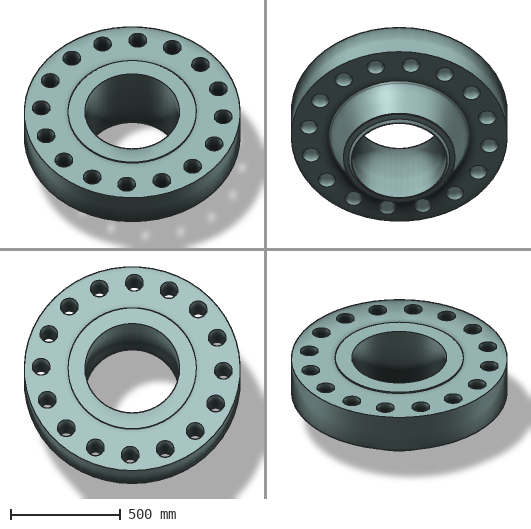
import cadquery as cq

flange_radius = 492.0
total_height = 362.0
bore_radius = 216.0

flange_thickness = 178.0
face_radius = 292.0
face_height = 7.0

hub_top_radius = 323.0
hub_root_radius = 316.0
hub_root_height = 10.0
neck_radius = 254.0
neck_height = 8.0

bevel_break_radius = 230.0
bevel_height = 18.0
bevel_break_drop = 5.0
weld_land_radius = 218.5

bolt_count = 16
bolt_circle_radius = 415.0
bolt_hole_diameter = 80.0

face_level = total_height
flange_top = total_height - face_height
flange_bottom = flange_top - flange_thickness
neck_bottom = bevel_height
neck_top = neck_bottom + neck_height


def revolved_body():
    """Flange, hub and bore revolved from one half section."""
    section = (
        cq.Workplane("XZ")
        .moveTo(bore_radius, 0)
        .lineTo(weld_land_radius, 0)
        .lineTo(bevel_break_radius, neck_bottom - bevel_break_drop)
        .lineTo(neck_radius, neck_bottom)
        .lineTo(neck_radius, neck_top)
        .lineTo(hub_root_radius, flange_bottom - hub_root_height)
        .lineTo(hub_top_radius, flange_bottom)
        .lineTo(flange_radius, flange_bottom)
        .lineTo(flange_radius, flange_top)
        .lineTo(face_radius, flange_top)
        .lineTo(face_radius, face_level)
        .lineTo(bore_radius, face_level)
        .close()
    )
    return section.revolve(360, (0, 0, 0), (0, 1, 0))


def bolt_holes():
    """Evenly spaced cutters that pass through the flange."""
    return (
        cq.Workplane("XY")
        .workplane(offset=flange_bottom)
        .polarArray(bolt_circle_radius, 0, 360, bolt_count)
        .circle(bolt_hole_diameter / 2)
        .extrude(flange_thickness)
    )


result = revolved_body().cut(bolt_holes())